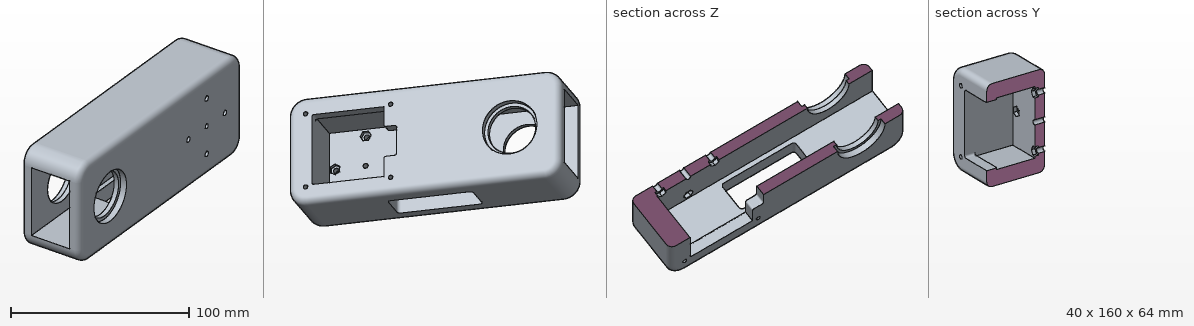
import cadquery as cq
import math

WIDTH = 40.0
LENGTH = 160.0
HEIGHT = 64.0
CORNER_RADIUS = 10.0
EDGE_RADIUS = 4.0

CAVITY_WIDTH = 26.0
CAVITY_HEIGHT = HEIGHT - 2 * CORNER_RADIUS

PATTERN_Y = 45.0

WINDOW_LENGTH = 42.25
WINDOW_HEIGHT = 42.0
WINDOW_Y_MIN = 24.0
WINDOW_Y_MAX = WINDOW_Y_MIN + WINDOW_LENGTH
TAB_LENGTH = 7.5
TAB_Y_MIN = WINDOW_Y_MIN - TAB_LENGTH
TAB_HEIGHT = 18.0
WINDOW_CORNER_RADIUS = 1.25

SCREW_DIAMETER = 2.5
SCREW_SPACING_Y = 50.0
SCREW_SPACING_Z = 44.0

CENTRE_HOLE_DIAMETER = 2.9
NUT_HOLE_DIAMETER = 3.2
NUT_HOLE_RADIUS = 18.0
NUT_ACROSS_FLATS = 5.5
NUT_ACROSS_CORNERS = NUT_ACROSS_FLATS / math.cos(math.radians(30))
NUT_TRAP_DEPTH = 2.5

BORE_Y = -50.0
BORE_DIAMETER = 28.0
COUNTERBORE_DIAMETER = 32.0
COUNTERBORE_DEPTH = 4.0

FLOOR_OPENING_WIDTH = 20.0
FLOOR_OPENING_LENGTH = 50.0
FLOOR_OPENING_CORNER_RADIUS = 2.0

LEFT = -WIDTH / 2
RIGHT = WIDTH / 2
INNER_RIGHT = CAVITY_WIDTH / 2
WALL = (WIDTH - CAVITY_WIDTH) / 2


def box(x_range, y_range, z_range):
    """Box spanning the given (low, high) ranges."""
    size = [high - low for low, high in (x_range, y_range, z_range)]
    corner = (x_range[0], y_range[0], z_range[0])
    return cq.Workplane("XY").box(*size, centered=False).translate(corner)


def x_cylinder(diameter, x_start, depth, y, z):
    """Cylinder running along +X from x_start."""
    return cq.Workplane("YZ", origin=(x_start, y, z)).circle(diameter / 2).extrude(depth)


def make_body():
    block = cq.Workplane("XY").box(WIDTH, LENGTH, HEIGHT)
    return block.edges("|X").fillet(CORNER_RADIUS).faces("<X or >X").edges().fillet(EDGE_RADIUS)


def make_cavity():
    half_w = CAVITY_WIDTH / 2
    half_h = CAVITY_HEIGHT / 2
    return box((-half_w, half_w), (-LENGTH / 2, WINDOW_Y_MAX), (-half_h, half_h))


def make_window():
    """Filleted rectangular opening joined to a finger tab on its -Y side."""
    half = WINDOW_HEIGHT / 2
    wall = (LEFT, LEFT + WALL)
    opening = box(wall, (WINDOW_Y_MIN, WINDOW_Y_MAX), (-half, half))
    tab = box(wall, (TAB_Y_MIN, WINDOW_Y_MIN), (-TAB_HEIGHT / 2, TAB_HEIGHT / 2))
    window = opening.union(tab)
    tab_region = cq.selectors.BoxSelector(
        (LEFT, TAB_Y_MIN - TAB_LENGTH, -TAB_HEIGHT),
        (LEFT + WALL, WINDOW_Y_MAX, TAB_HEIGHT),
    )
    tab_corners = window.edges("|X").edges(tab_region)
    rounded = tab_corners.add(window.edges("|X and >Y"))
    return window.newObject(rounded.vals()).fillet(WINDOW_CORNER_RADIUS)


def make_screw_holes():
    holes = cq.Workplane("YZ", origin=(LEFT, PATTERN_Y, 0))
    holes = holes.rect(SCREW_SPACING_Y, SCREW_SPACING_Z, forConstruction=True).vertices()
    return holes.circle(SCREW_DIAMETER / 2).extrude(WALL)


def make_nut_holes():
    """Four holes around the pattern centre, each with a nut trap sunk from the cavity."""
    holes = cq.Workplane("YZ")
    for angle in (0, 90, 180, 270):
        trap = cq.Workplane("YZ").polygon(6, NUT_ACROSS_CORNERS).extrude(NUT_TRAP_DEPTH)
        trap = trap.rotate((0, 0, 0), (1, 0, 0), 90)
        hole = trap.union(x_cylinder(NUT_HOLE_DIAMETER, 0, WALL, 0, 0))
        hole = hole.translate((INNER_RIGHT, NUT_HOLE_RADIUS, 0)).rotate((0, 0, 0), (1, 0, 0), angle)
        holes = holes.add(hole.translate((0, PATTERN_Y, 0)))
    return holes.combine()


def make_centre_hole():
    return x_cylinder(CENTRE_HOLE_DIAMETER, INNER_RIGHT, WALL, PATTERN_Y, 0)


def make_bore():
    bore = x_cylinder(BORE_DIAMETER, LEFT, WIDTH, BORE_Y, 0)
    for x_start in (LEFT, RIGHT - COUNTERBORE_DEPTH):
        bore = bore.union(x_cylinder(COUNTERBORE_DIAMETER, x_start, COUNTERBORE_DEPTH, BORE_Y, 0))
    return bore


def make_floor_opening():
    half_w = FLOOR_OPENING_WIDTH / 2
    half_l = FLOOR_OPENING_LENGTH / 2
    opening = box((-half_w, half_w), (-half_l, half_l), (-HEIGHT / 2, -CAVITY_HEIGHT / 2))
    return opening.edges("|Z").fillet(FLOOR_OPENING_CORNER_RADIUS)


result = make_body().cut(make_cavity()).cut(make_window()).cut(make_screw_holes())
result = result.cut(make_nut_holes()).cut(make_centre_hole()).cut(make_bore()).cut(make_floor_opening())